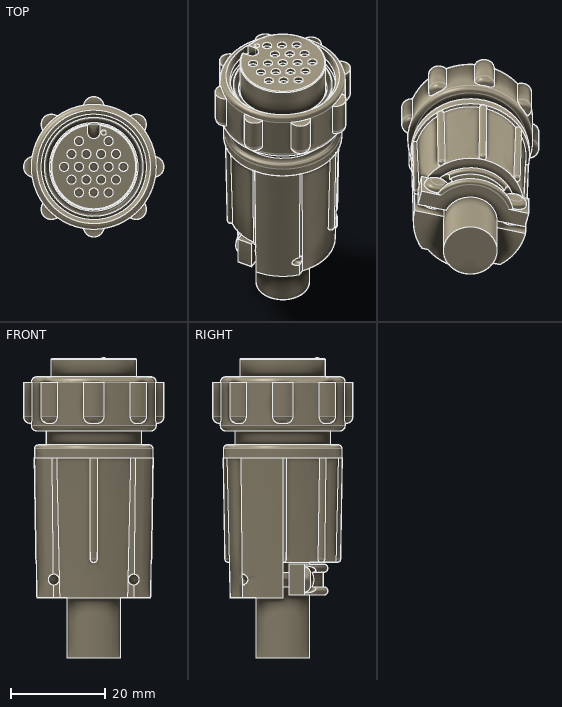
import cadquery as cq
import math

SHELL_BOTTOM_Z = 12.8
REAR_SHELL_BOTTOM_Z = 20.3
COLLAR_BOTTOM_Z = 42.45
COLLAR_TOP_Z = 45.3
NUT_BOTTOM_Z = 48.2
NUT_TOP_Z = 59.75
INSERT_TOP_Z = 63.6
OVERALL_HEIGHT = 63.8

CABLE_RADIUS = 5.7
COLLAR_RADIUS = 12.6
COLLAR_FILLET = 0.85
NECK_RADIUS = 10.15

CORE_BOTTOM_RADIUS = 11.18
CORE_TOP_RADIUS = 11.85
LOBE_BOTTOM_RADIUS = 12.1
LOBE_TOP_RADIUS = 12.55

SHELL_RIB_ANGLES = (0, 45, 90, 135, 180, 270)
SPLIT_LINE_ANGLES = (0, 180)
SHELL_RIB_RADIUS = 0.77
SHELL_RIB_TOP_OFFSET = 11.9
SHELL_RIB_BOTTOM_OFFSET = 11.55

NUT_RADIUS = 13.28
NUT_FILLET = 1.19
NUT_MOUTH_RADIUS = 12.05
NUT_BORE_RADIUS = 11.2
NUT_LEAD_IN_DEPTH = 1.2
NUT_FLOOR_Z = 57.0
NUT_LOBE_COUNT = 8
NUT_LOBE_RADIUS = 2.2
NUT_LOBE_REACH = 29.84 / 2
NUT_LOBE_BOTTOM_Z = 49.8
NUT_LOBE_FILLET = 1.5

RING_OUTER_RADIUS = 10.5
RING_INNER_RADIUS = 9.4
RING_TOP_Z = 57.4
RING_FILLET = 0.9
RING_GAP_BOTTOM_Z = 56.0

INSERT_RADIUS = 9.12
INSERT_CHAMFER = 0.2
SOCKET_PITCH = 3.15
SOCKET_DIAMETER = 1.92
SOCKET_DEPTH = 1.0
SOCKET_COLUMNS_BY_ROW = {
    -2: (-1, 0, 1),
    -1: (-1.5, -0.5, 0.5, 1.5),
    0: (-2, -1, 0, 1, 2),
    1: (-1.5, -0.5, 0.5, 1.5),
    2: (-1, 1),
}
KEYWAY_WIDTH = 2.6
KEYWAY_INNER_Y = 6.0
KEYWAY_DEPTH = 4.0
MARK_X = 2.1
MARK_Y = 7.3
MARK_RADIUS = 0.55

SCREW_X = 8.49
SCREW_Z = 16.67
SCREW_SHANK_RADIUS = 1.53
SCREW_HEAD_RADIUS = 2.65
SCREW_HEAD_HEIGHT = 1.3
SCREW_HEAD_FILLET = 1.2
HEAD_CLEARANCE_RADIUS = 2.9
SCREW_HOLE_RADIUS = 1.15
SCREW_HOLE_FLOOR_Y = -6.0
CLAMP_HALF_LENGTH = 11.7
CLAMP_HEIGHT = 6.6
CLAMP_NEAR_Y = 1.28
CLAMP_FAR_Y = 4.57
CLAMP_ARCH_RADIUS = 8.65
CLAMP_BEAD_RADIUS = 0.88
CLAMP_BEAD_RING_RADIUS = 8.72

SHELL_HEIGHT = COLLAR_BOTTOM_Z - SHELL_BOTTOM_Z
SPAN = 2 * NUT_LOBE_REACH


def disc(radius, bottom_z, top_z):
    return cq.Workplane("XY").workplane(offset=bottom_z).circle(radius).extrude(top_z - bottom_z)


def rod_along_y(radius, x, z, start_y, end_y):
    rod = cq.Solid.makeCylinder(radius, end_y - start_y, cq.Vector(x, start_y, z), cq.Vector(0, 1, 0))
    return cq.Workplane(obj=rod)


def spin(body, angle):
    return body.rotate((0, 0, 0), (0, 0, 1), angle)


def shell_cone(bottom_radius, top_radius):
    cone = cq.Solid.makeCone(bottom_radius, top_radius, SHELL_HEIGHT, cq.Vector(0, 0, SHELL_BOTTOM_Z))
    return cq.Workplane(obj=cone)


def make_side_lobes():
    """Front half of the outer cone, cut flat where its edge reaches 45 degrees."""
    bottom_y = -LOBE_BOTTOM_RADIUS / math.sqrt(2)
    top_y = -LOBE_TOP_RADIUS / math.sqrt(2)
    keep = (
        cq.Workplane("YZ")
        .polyline([
            (0, SHELL_BOTTOM_Z),
            (bottom_y, SHELL_BOTTOM_Z),
            (top_y, COLLAR_BOTTOM_Z),
            (0, COLLAR_BOTTOM_Z),
        ])
        .close()
        .extrude(SPAN / 2, both=True)
    )
    return shell_cone(LOBE_BOTTOM_RADIUS, LOBE_TOP_RADIUS).intersect(keep)


def make_shell_rib():
    """Leaning round bar with a ball end at the bottom."""
    foot = cq.Vector(SHELL_RIB_BOTTOM_OFFSET, 0, REAR_SHELL_BOTTOM_Z + SHELL_RIB_RADIUS)
    head = cq.Vector(SHELL_RIB_TOP_OFFSET, 0, COLLAR_BOTTOM_Z)
    lean = head - foot
    bar = cq.Workplane(obj=cq.Solid.makeCylinder(SHELL_RIB_RADIUS, lean.Length, foot, lean))
    ball = cq.Workplane("XY").sphere(SHELL_RIB_RADIUS).translate(foot.toTuple())
    return bar.union(ball)


def make_shell():
    shell = shell_cone(CORE_BOTTOM_RADIUS, CORE_TOP_RADIUS)
    rear_gap = cq.Workplane("XY").box(SPAN, SPAN, REAR_SHELL_BOTTOM_Z, centered=(True, False, False))
    rear_half = cq.Workplane("XY").box(SPAN, SPAN, COLLAR_BOTTOM_Z, centered=(True, False, False))
    shell = shell.cut(rear_gap).union(make_side_lobes())
    rib = make_shell_rib()
    for angle in SHELL_RIB_ANGLES:
        placed_rib = spin(rib, angle)
        if angle in SPLIT_LINE_ANGLES:
            placed_rib = placed_rib.intersect(rear_half)
        shell = shell.union(placed_rib)
    for side in (-1, 1):
        hole = rod_along_y(SCREW_HOLE_RADIUS, side * SCREW_X, SCREW_Z, -SPAN, SCREW_HOLE_FLOOR_Y)
        shell = shell.cut(hole)
    return shell


def make_collar():
    return disc(COLLAR_RADIUS, COLLAR_BOTTOM_Z, COLLAR_TOP_Z).faces(">Z").edges().fillet(COLLAR_FILLET)


def make_nut():
    nut = disc(NUT_RADIUS, NUT_BOTTOM_Z, NUT_TOP_Z).edges().fillet(NUT_FILLET)
    lobe = (
        disc(NUT_LOBE_RADIUS, NUT_LOBE_BOTTOM_Z, NUT_TOP_Z - NUT_FILLET)
        .faces("<Z").edges().fillet(NUT_LOBE_FILLET)
        .translate((NUT_LOBE_REACH - NUT_LOBE_RADIUS, 0, 0))
    )
    for i in range(NUT_LOBE_COUNT):
        nut = nut.union(spin(lobe, i * 360 / NUT_LOBE_COUNT))
    return nut.cut(make_nut_mouth())


def make_nut_mouth():
    """Tapered lead-in, straight bore and stepped floor, as one turned cutter."""
    bore_top_z = NUT_TOP_Z - NUT_LEAD_IN_DEPTH
    return (
        cq.Workplane("XZ")
        .moveTo(0, RING_GAP_BOTTOM_Z)
        .lineTo(RING_INNER_RADIUS, RING_GAP_BOTTOM_Z)
        .lineTo(RING_INNER_RADIUS, RING_TOP_Z - RING_FILLET)
        .radiusArc((RING_INNER_RADIUS + RING_FILLET, RING_TOP_Z), RING_FILLET)
        .lineTo(RING_OUTER_RADIUS, RING_TOP_Z)
        .lineTo(RING_OUTER_RADIUS, NUT_FLOOR_Z)
        .lineTo(NUT_BORE_RADIUS, NUT_FLOOR_Z)
        .lineTo(NUT_BORE_RADIUS, bore_top_z)
        .lineTo(NUT_MOUTH_RADIUS, NUT_TOP_Z)
        .lineTo(0, NUT_TOP_Z)
        .close()
        .revolve(360, (0, 0, 0), (0, 1, 0))
    )


def socket_points():
    row_pitch = SOCKET_PITCH * math.sqrt(3) / 2
    return [
        (column * SOCKET_PITCH, row * row_pitch)
        for row, columns in SOCKET_COLUMNS_BY_ROW.items()
        for column in columns
    ]


def make_keyway():
    """Slot with a round inner end, open at the rear of the insert."""
    half_width = KEYWAY_WIDTH / 2
    centre_y = KEYWAY_INNER_Y + half_width
    return (
        cq.Workplane("XY")
        .workplane(offset=INSERT_TOP_Z - KEYWAY_DEPTH)
        .moveTo(-half_width, INSERT_RADIUS + half_width)
        .lineTo(-half_width, centre_y)
        .threePointArc((0, KEYWAY_INNER_Y), (half_width, centre_y))
        .lineTo(half_width, INSERT_RADIUS + half_width)
        .close()
        .extrude(KEYWAY_DEPTH)
    )


def make_mark():
    """Small domed dot standing on the insert face beside the keyway."""
    height = OVERALL_HEIGHT - INSERT_TOP_Z
    dome_radius = (MARK_RADIUS ** 2 + height ** 2) / (2 * height)
    ball = cq.Workplane("XY").sphere(dome_radius).translate((MARK_X, MARK_Y, OVERALL_HEIGHT - dome_radius))
    return ball.intersect(disc(INSERT_RADIUS, INSERT_TOP_Z, OVERALL_HEIGHT))


def make_insert():
    insert = disc(INSERT_RADIUS, RING_GAP_BOTTOM_Z, INSERT_TOP_Z).faces(">Z").chamfer(INSERT_CHAMFER)
    sockets = (
        cq.Workplane("XY")
        .workplane(offset=INSERT_TOP_Z - SOCKET_DEPTH)
        .pushPoints(socket_points())
        .circle(SOCKET_DIAMETER / 2)
        .extrude(SOCKET_DEPTH)
    )
    return insert.cut(sockets).cut(make_keyway()).union(make_mark())


def make_clamp():
    """Straight bar with an arch over the cable and a bead along both arch edges."""
    bottom_z = SCREW_Z - CLAMP_HEIGHT / 2
    top_z = SCREW_Z + CLAMP_HEIGHT / 2
    bar = (
        cq.Workplane("XY")
        .box(2 * CLAMP_HALF_LENGTH, CLAMP_FAR_Y - CLAMP_NEAR_Y, CLAMP_HEIGHT, centered=(True, False, True))
        .translate((0, CLAMP_NEAR_Y, SCREW_Z))
    )
    arch = disc(CLAMP_ARCH_RADIUS, bottom_z + CLAMP_BEAD_RADIUS, top_z - CLAMP_BEAD_RADIUS)
    for bead_z in (bottom_z + CLAMP_BEAD_RADIUS, top_z - CLAMP_BEAD_RADIUS):
        bead = cq.Solid.makeTorus(CLAMP_BEAD_RING_RADIUS, CLAMP_BEAD_RADIUS, cq.Vector(0, 0, bead_z))
        flange = disc(CLAMP_BEAD_RING_RADIUS, bead_z - CLAMP_BEAD_RADIUS, bead_z + CLAMP_BEAD_RADIUS)
        arch = arch.union(flange).union(cq.Workplane(obj=bead))
    far_side = cq.Workplane("XY").box(SPAN, SPAN, SPAN, centered=(True, False, True))
    clamp = bar.union(arch.intersect(far_side.translate((0, CLAMP_NEAR_Y, SCREW_Z))))
    for side in (-1, 1):
        clamp = clamp.cut(rod_along_y(HEAD_CLEARANCE_RADIUS, side * SCREW_X, SCREW_Z, CLAMP_FAR_Y, SPAN))
    return clamp


def make_screw(x):
    head_top_y = CLAMP_FAR_Y + SCREW_HEAD_HEIGHT
    shank = rod_along_y(SCREW_SHANK_RADIUS, x, SCREW_Z, -SCREW_SHANK_RADIUS, CLAMP_FAR_Y)
    head = rod_along_y(SCREW_HEAD_RADIUS, x, SCREW_Z, CLAMP_FAR_Y, head_top_y)
    return shank.union(head.faces(">Y").edges().fillet(SCREW_HEAD_FILLET))


result = disc(CABLE_RADIUS, 0, COLLAR_BOTTOM_Z)
result = result.union(make_shell())
result = result.union(make_collar())
result = result.union(disc(NECK_RADIUS, COLLAR_TOP_Z, NUT_BOTTOM_Z))
result = result.union(make_nut())
result = result.union(make_insert())
result = result.union(make_clamp())
for screw_side in (-1, 1):
    result = result.union(make_screw(screw_side * SCREW_X))